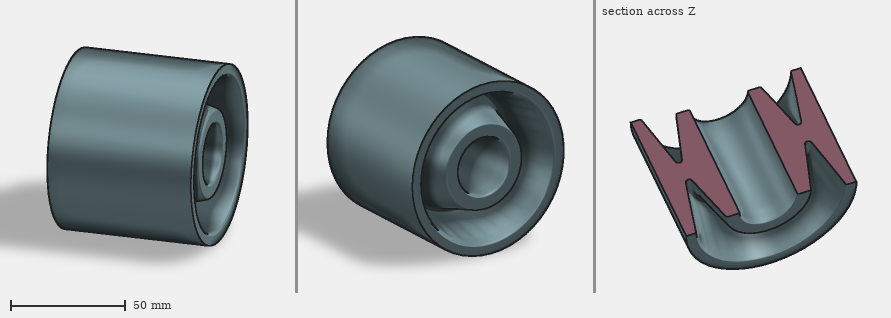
import cadquery as cq
import math

length = 66.0
outer_radius = 40.0
bore_radius = 13.5
edge_round = 1.0

hub_recess = 3.0
hub_corner_radius = 19.9
rim_corner_radius = 35.15

groove_depth = 28.0
groove_round = 1.5
groove_radius = 28.0

end_x = -length / 2
hub_x = end_x + hub_recess
groove_center_x = end_x + groove_depth - groove_round


def wall_draft(corner_x, radial_gap):
    """Angle to the axis of a cone from a sharp corner, tangent to the groove round."""
    axial_run = groove_center_x - corner_x
    center_distance = math.hypot(axial_run, radial_gap)
    return math.atan2(radial_gap, axial_run) - math.asin(groove_round / center_distance)


hub_draft = wall_draft(hub_x, groove_radius - hub_corner_radius)
rim_draft = wall_draft(end_x, rim_corner_radius - groove_radius)


def corner_setback(draft):
    """Distance from a sharp edge to where its round meets the adjoining faces."""
    return edge_round / math.tan((math.pi / 2 + draft) / 2)


def groove_tangent(draft, side):
    """Point where a cone meets the groove round; side is -1 for the hub, +1 for the rim."""
    return (
        groove_center_x + groove_round * math.sin(draft),
        groove_radius + side * groove_round * math.cos(draft),
    )


def end_recess():
    """Space removed at the -X end, in front of the hub and inside the rim."""
    hub_setback = corner_setback(hub_draft)
    rim_setback = corner_setback(rim_draft)
    hub_round_end = (
        hub_x + hub_setback * math.cos(hub_draft),
        hub_corner_radius + hub_setback * math.sin(hub_draft),
    )
    rim_round_start = (
        end_x + rim_setback * math.cos(rim_draft),
        rim_corner_radius - rim_setback * math.sin(rim_draft),
    )
    bore_round_mid = edge_round * (1 - math.sqrt(0.5))
    profile = (
        cq.Workplane("XY")
        .moveTo(end_x, 0)
        .lineTo(hub_x + edge_round, 0)
        .lineTo(hub_x + edge_round, bore_radius)
        .threePointArc(
            (hub_x + bore_round_mid, bore_radius + bore_round_mid),
            (hub_x, bore_radius + edge_round),
        )
        .lineTo(hub_x, hub_corner_radius - hub_setback)
        .tangentArcPoint(hub_round_end, relative=False)
        .lineTo(*groove_tangent(hub_draft, -1))
        .tangentArcPoint(groove_tangent(rim_draft, 1), relative=False)
        .lineTo(*rim_round_start)
        .tangentArcPoint((end_x, rim_corner_radius + rim_setback), relative=False)
        .close()
    )
    return profile.revolve(360, (0, 0, 0), (1, 0, 0))


def roller_blank():
    """Plain tube, centred on the origin."""
    return (
        cq.Workplane("YZ", origin=(end_x, 0, 0))
        .circle(outer_radius)
        .circle(bore_radius)
        .extrude(length)
    )


recess = end_recess()
result = roller_blank().cut(recess).cut(recess.mirror("YZ"))